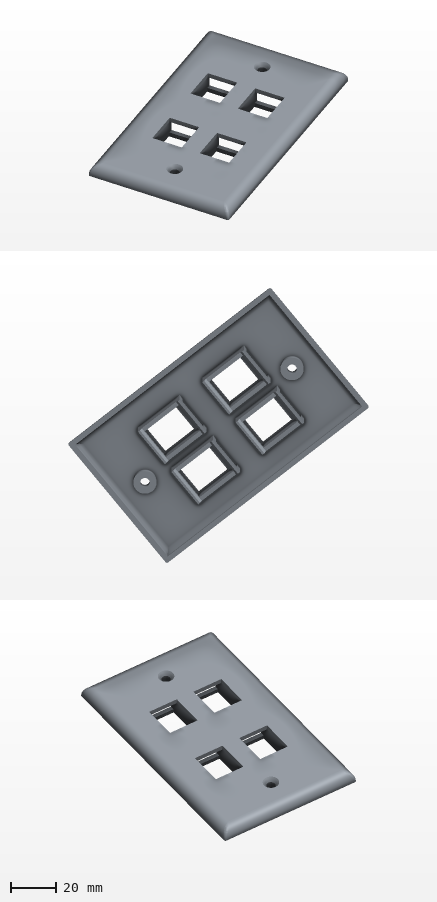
import cadquery as cq

plate_width = 70.0
plate_length = 114.5
plate_height = 5.5
edge_radius = 4.9
corner_radius = 0.9
skin = 2.3

opening_width = 14.7
opening_length = 16.5
column_spacing = 23.6
row_spacing = 36.3
total_height = 11.3
frame_gap = 15.0
frame_wall = 2.0
frame_far_margin = 2.1
frame_near_margin = 4.9
bar_height = 3.1
bar_thickness = 2.1
bar_foot_thickness = 1.0
foot_height = 1.3

screw_spacing = 83.1
screw_hole_diameter = 4.1
screw_head_diameter = 7.3
boss_diameter = 10.3
countersink_angle = 82

frame_width = frame_gap + 2 * frame_wall
frame_y_min = -opening_length / 2 - frame_near_margin
frame_y_max = opening_length / 2 + frame_far_margin
frame_length = frame_y_max - frame_y_min


def make_plate():
    """Shallow tray, open below, with a rounded top edge."""
    body = (
        cq.Workplane("XY")
        .box(plate_width, plate_length, plate_height, centered=(True, True, False))
        .translate((0, 0, -plate_height))
        .edges("|Z")
        .fillet(corner_radius)
        .faces(">Z")
        .edges()
        .fillet(edge_radius)
    )
    hollow = (
        cq.Workplane("XY")
        .workplane(offset=-plate_height)
        .rect(plate_width - 2 * skin, plate_length - 2 * skin)
        .extrude(plate_height - skin)
        .faces(">Z")
        .edges()
        .fillet(edge_radius - skin)
    )
    return body.cut(hollow)


def make_frame():
    """Two side walls joined by a chamfered cross bar at each end, centred on an opening."""
    wall_bottom = foot_height - total_height
    wall_offset = (frame_gap + frame_wall) / 2
    frame_y_mid = (frame_y_min + frame_y_max) / 2
    frame = (
        cq.Workplane("XY")
        .workplane(offset=wall_bottom)
        .pushPoints([(side * wall_offset, frame_y_mid) for side in (-1, 1)])
        .rect(frame_wall, frame_length)
        .extrude(-skin - wall_bottom)
    )
    for end_y, inward in ((frame_y_min, 1), (frame_y_max, -1)):
        foot_y = end_y + inward * bar_foot_thickness
        inner_y = end_y + inward * bar_thickness
        bar = (
            cq.Workplane("YZ")
            .moveTo(end_y, -total_height)
            .lineTo(foot_y, -total_height)
            .lineTo(inner_y, wall_bottom)
            .lineTo(inner_y, bar_height - total_height)
            .lineTo(end_y, bar_height - total_height)
            .close()
            .extrude(frame_width / 2, both=True)
        )
        frame = frame.union(bar)
    return frame


def make_screw_bosses():
    """Round bosses reaching from the skin down to the level of the rim."""
    return (
        cq.Workplane("XY")
        .workplane(offset=-plate_height)
        .pushPoints(screw_points)
        .circle(boss_diameter / 2)
        .extrude(plate_height - skin)
    )


jack_points = [
    (column * column_spacing / 2, row * row_spacing / 2)
    for column in (-1, 1)
    for row in (-1, 1)
]
screw_points = [(0, end * screw_spacing / 2) for end in (-1, 1)]

openings = (
    cq.Workplane("XY")
    .pushPoints(jack_points)
    .rect(opening_width, opening_length)
    .extrude(-skin)
)
result = make_plate().cut(openings).union(make_screw_bosses())

frame = make_frame()
for x, y in jack_points:
    result = result.union(frame.translate((x, y, 0)))

result = (
    result.faces(">Z")
    .workplane(origin=(0, 0, 0))
    .pushPoints(screw_points)
    .cskHole(screw_hole_diameter, screw_head_diameter, countersink_angle)
)